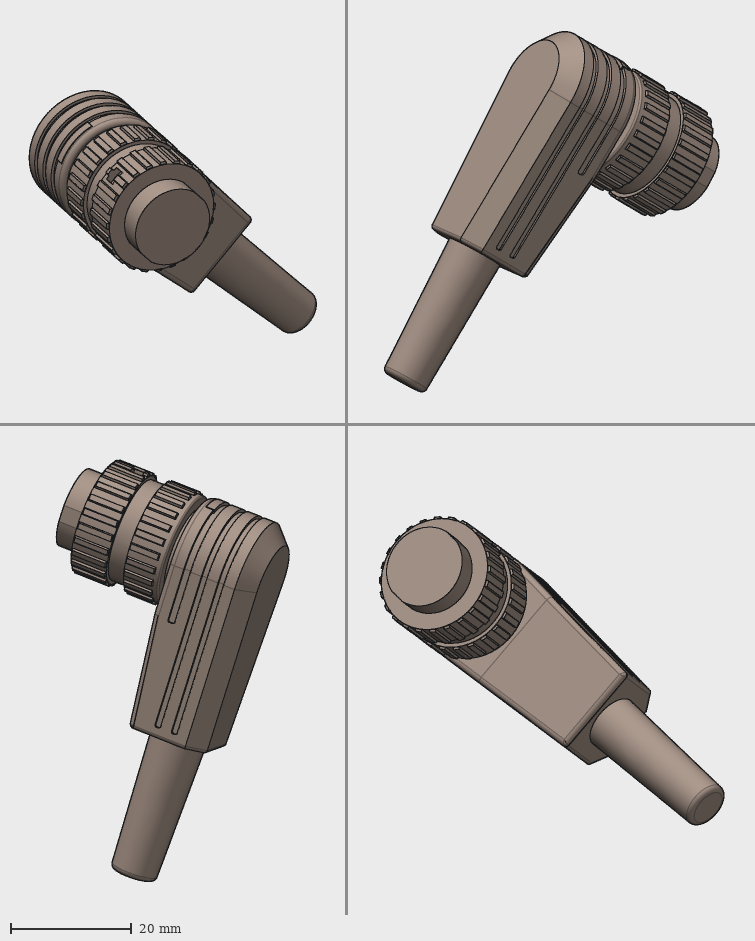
import cadquery as cq
import math

BODY_TILT = 45.0
PLUG_TILT = 42.6

HEAD_R = 10.0
BODY_THICKNESS = 15.0
BODY_LENGTH = 29.45
FLANK_TAPER = 4.0
BACK_CHAMFER = 3.0
FRONT_FILLET = 0.95
END_FILLET = 0.6
SLOPE_START = 9.65
SLOPE_DROP = 1.6

OVERLAP = 0.5

GROOVE_DEPTH = 0.5
GROOVE_CORNER_R = 0.35
GROOVES = [(5.0, 1.0, 27.7), (8.05, 1.0, 27.7), (11.1, 1.2, 10.1)]

PAD_HEIGHT = 0.1
PAD_X = 12.1
PAD_LENGTH = 1.55
PAD_WIDTH = 8.0

CABLE_X = 6.7
CABLE_ROOT_R = 4.75
CABLE_TIP_R = 3.9
CABLE_TIP = 54.1
CABLE_FILLET = 0.9

NECK_R = 7.45
RING_R = 9.65
SLEEVE_R = 8.95
TUBE_R = 6.85
REAR_RING_X = 15.95
REAR_RING_END = 22.4
FRONT_RING_X = 25.5
FRONT_RING_END = 32.05
PLUG_END = 36.1
RING_EDGE_FILLET = 0.3
TUBE_FLAT_DISTANCE = 6.7

RIB_COUNT = 24
RIB_R = 10.05
RIB_ROOT_R = 9.45
RIB_WIDTH = 1.3
RIB_DRAFT = 15.0
REAR_RIBS = (17.0, 22.35)
FRONT_RIBS = (25.55, 31.95)

WINDOW_X = 26.45
WINDOW_LENGTH = 2.15
WINDOW_WIDTH = 2.55
WINDOW_FLOOR_R = 8.35


def body_outline(inset=0.0):
    """Closed outline of the body, drawn square to the plug axis."""
    taper = math.radians(FLANK_TAPER)
    radius = HEAD_R - inset
    tangent_y = radius * math.cos(taper)
    tangent_z = -radius * math.sin(taper)
    end_y = (radius - BODY_LENGTH * math.sin(taper)) / math.cos(taper)
    return (
        cq.Workplane("YZ")
        .moveTo(-end_y, -BODY_LENGTH)
        .lineTo(-tangent_y, tangent_z)
        .threePointArc((0, radius), (tangent_y, tangent_z))
        .lineTo(end_y, -BODY_LENGTH)
        .close()
    )


def box_span(x, length, width, bottom, top):
    """Box starting at x, centred on the plug axis in Y, between two heights."""
    return (
        cq.Workplane("XY")
        .box(length, width, top - bottom, centered=(False, True, False))
        .translate((x, 0, bottom))
    )


def make_body():
    body = body_outline().extrude(BODY_THICKNESS)
    slope = (
        cq.Workplane("XZ")
        .moveTo(BODY_THICKNESS, -SLOPE_START)
        .lineTo(BODY_THICKNESS - SLOPE_DROP, -BODY_LENGTH)
        .lineTo(BODY_THICKNESS, -BODY_LENGTH)
        .close()
        .extrude(HEAD_R, both=True)
    )
    body = body.cut(slope)

    ridge = cq.selectors.NearestToPointSelector((BODY_THICKNESS, 0, -SLOPE_START))
    front_zone = cq.selectors.BoxSelector(
        (BODY_THICKNESS - SLOPE_DROP, -HEAD_R, -BODY_LENGTH),
        (BODY_THICKNESS + OVERLAP, HEAD_R, HEAD_R),
    )
    body = body.faces(front_zone).edges(-ridge).fillet(FRONT_FILLET)

    flat_end = cq.selectors.NearestToPointSelector((0, 0, -BODY_LENGTH))
    body = body.faces("<X").edges(-flat_end).chamfer(BACK_CHAMFER)

    return body.faces("<Z").edges().fillet(END_FILLET)


def make_groove(x, width, end):
    """Band following the body outline, open to the outside, closed at its lower end."""
    above_end = box_span(x, width, 4 * HEAD_R, -end, 2 * HEAD_R)
    above_end = above_end.faces("<Z").edges("|Y").fillet(GROOVE_CORNER_R)
    core = body_outline(GROOVE_DEPTH).extrude(BODY_THICKNESS)
    return above_end.cut(core)


def make_cable():
    root = BODY_LENGTH - OVERLAP
    return (
        cq.Workplane("XZ")
        .moveTo(0, -root)
        .lineTo(CABLE_ROOT_R, -root)
        .lineTo(CABLE_TIP_R, -CABLE_TIP)
        .lineTo(0, -CABLE_TIP)
        .close()
        .revolve(360, (0, 0, 0), (0, 1, 0))
        .faces("<Z")
        .edges()
        .fillet(CABLE_FILLET)
        .translate((CABLE_X, 0, 0))
    )


def disc(radius, start, end):
    """Cylinder on the plug axis between two X stations."""
    return cq.Workplane("YZ").workplane(offset=start).circle(radius).extrude(end - start)


def make_ribs(start, end):
    """Ring of drafted ribs, each standing radially on the plug."""
    rib = (
        cq.Workplane("XY")
        .workplane(offset=RIB_ROOT_R)
        .center((start + end) / 2, 0)
        .rect(end - start, RIB_WIDTH)
        .extrude(RIB_R - RIB_ROOT_R, taper=RIB_DRAFT)
    )
    ribs = cq.Workplane("XY")
    for index in range(RIB_COUNT):
        ribs = ribs.add(rib.rotate((0, 0, 0), (1, 0, 0), index * 360 / RIB_COUNT))
    return ribs.combine()


def make_tube():
    tube = disc(TUBE_R, REAR_RING_X, PLUG_END)
    flats = box_span(REAR_RING_X, PLUG_END - REAR_RING_X, 2 * TUBE_FLAT_DISTANCE, -TUBE_R, TUBE_R)
    return tube.intersect(flats)


def make_plug():
    rear_ring = disc(RING_R, REAR_RING_X, REAR_RING_END).faces("<X").edges().fillet(RING_EDGE_FILLET)
    plug = disc(NECK_R, BODY_THICKNESS - OVERLAP, REAR_RING_END)
    plug = plug.union(rear_ring).union(disc(SLEEVE_R, REAR_RING_X, FRONT_RING_END))
    plug = plug.union(disc(RING_R, FRONT_RING_X, FRONT_RING_END)).union(make_tube())
    for start, end in (REAR_RIBS, FRONT_RIBS):
        plug = plug.union(make_ribs(start, end))
    window = box_span(WINDOW_X, WINDOW_LENGTH, WINDOW_WIDTH, WINDOW_FLOOR_R, HEAD_R + RIB_R)
    return plug.cut(window)


def make_pad():
    crown = box_span(PAD_X, PAD_LENGTH, PAD_WIDTH, 0, 2 * HEAD_R)
    return disc(HEAD_R + PAD_HEIGHT, PAD_X, PAD_X + PAD_LENGTH).intersect(crown)


body = make_body()
for x, width, end in GROOVES:
    body = body.cut(make_groove(x, width, end))
body = body.union(make_pad()).union(make_cable())

origin, axis_end = (0, 0, 0), (1, 0, 0)
body = body.rotate(origin, axis_end, BODY_TILT)
plug = make_plug().rotate(origin, axis_end, PLUG_TILT)
result = body.union(plug)